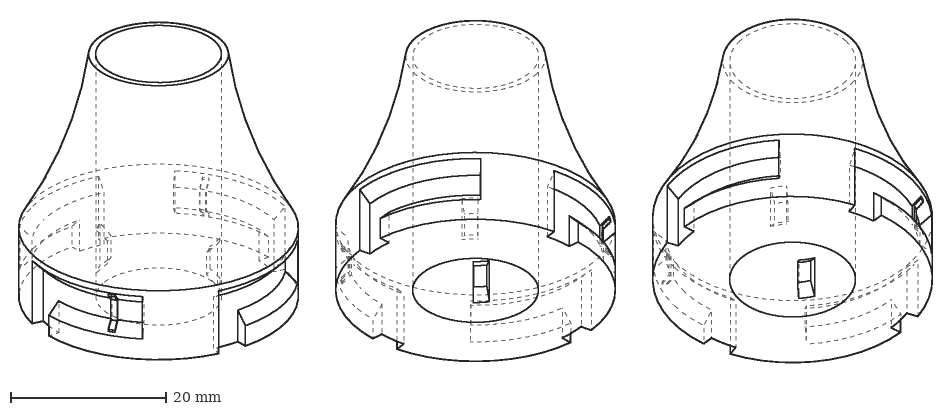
import cadquery as cq

base_radius = 18.0
height = 35.0
rim_height = 9.97
neck_radius = 9.0
flare_mid_radius = 12.3
flare_mid_height = 21.7
bore_radius = 8.1

channel_count = 4
channel_bottom = 2.95
channel_top = 9.07
channel_depth = 1.6
channel_start = -13.0
channel_end = 45.0
entry_end = 0.0
floor_radius = base_radius - channel_depth

ridge_height = 0.3
ridge_start = 30.0
ridge_end = 33.0
ridge_outer_radius = 17.65
ridge_axes = (-90.0, 90.0)

lug_depth = 1.48
lug_start = 30.0
lug_end = 45.0
lug_axes = (0.0, 180.0)

overlap = 0.35


def sector(points, start, end):
    """Sweep a closed (radius, height) outline about Z between two angles in degrees."""
    swept = cq.Workplane("XZ").polyline(points).close().revolve(end - start, (0, 0), (0, 1))
    return swept.rotate((0, 0, 0), (0, 0, 1), start)


def body():
    return (
        cq.Workplane("XZ")
        .moveTo(bore_radius, 0)
        .lineTo(base_radius, 0)
        .lineTo(base_radius, rim_height)
        .threePointArc((flare_mid_radius, flare_mid_height), (neck_radius, height))
        .lineTo(bore_radius, height)
        .close()
        .revolve(360, (0, 0), (0, 1))
    )


def channel(axis):
    """L-shaped channel: an entry open at the bottom, then a locking groove."""
    flank_end = channel_depth + overlap
    outer = floor_radius + flank_end
    groove = [
        (floor_radius, channel_bottom + channel_depth),
        (floor_radius, channel_top - channel_depth),
        (outer, channel_top + overlap),
        (outer, channel_bottom - overlap),
    ]
    entry = [
        (floor_radius, -overlap),
        (floor_radius, channel_top - channel_depth),
        (outer, channel_top + overlap),
        (outer, -overlap),
    ]
    locking_groove = sector(groove, axis + channel_start, axis + channel_end)
    return locking_groove.union(sector(entry, axis + channel_start, axis + entry_end))


def ridge(axis):
    """Thin raised strip across a channel's floor and both flanks."""
    flank_run = ridge_outer_radius - floor_radius - ridge_height
    lower = channel_bottom + channel_depth
    upper = channel_top - channel_depth
    root_radius = floor_radius - overlap
    outline = [
        (root_radius, lower - flank_run - overlap),
        (ridge_outer_radius, lower - flank_run - overlap),
        (ridge_outer_radius, lower - flank_run),
        (floor_radius + ridge_height, lower),
        (floor_radius + ridge_height, upper),
        (ridge_outer_radius, upper + flank_run),
        (ridge_outer_radius, upper + flank_run + overlap),
        (root_radius, upper + flank_run + overlap),
    ]
    return sector(outline, axis + ridge_start, axis + ridge_end)


def lug(axis):
    """Inward lug with 45 degree flanks, level with the channels."""
    tip_radius = bore_radius - lug_depth
    root_radius = bore_radius + overlap
    outline = [
        (root_radius, channel_bottom),
        (bore_radius, channel_bottom),
        (tip_radius, channel_bottom + lug_depth),
        (tip_radius, channel_top - lug_depth),
        (bore_radius, channel_top),
        (root_radius, channel_top),
    ]
    return sector(outline, axis + lug_start, axis + lug_end)


result = body()
for index in range(channel_count):
    result = result.cut(channel(index * 360 / channel_count))
for ridge_axis in ridge_axes:
    result = result.union(ridge(ridge_axis))
for lug_axis in lug_axes:
    result = result.union(lug(lug_axis))